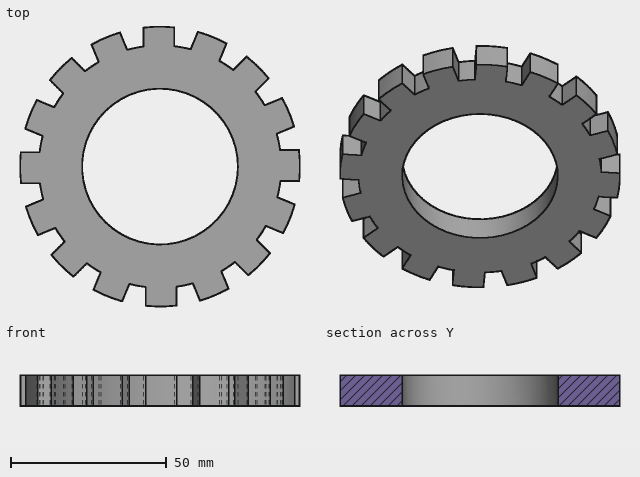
import cadquery as cq

thickness = 10.0
bore_diameter = 50.0
root_diameter = 78.0
tip_diameter = 90.0
tooth_count = 16
tooth_width = 10.0
tooth_offset = 0.36

tooth_pitch_angle = 360.0 / tooth_count
tip_radius = tip_diameter / 2


def disc(diameter):
    """Solid disc standing on the XY plane."""
    return cq.Workplane("XY").circle(diameter / 2).extrude(thickness)


def tooth_bar(angle):
    """Parallel-sided bar from the axis out to the tip circle, turned to the given angle."""
    return (
        cq.Workplane("XY")
        .center(tip_radius / 2, tooth_offset)
        .rect(tip_radius, tooth_width)
        .extrude(thickness)
        .rotate((0, 0, 0), (0, 0, 1), angle)
    )


def toothed_disc():
    """Root disc with all teeth added, their tips rounded to the tip circle."""
    body = disc(root_diameter)
    for index in range(tooth_count):
        body = body.union(tooth_bar(index * tooth_pitch_angle))
    return body.intersect(disc(tip_diameter))


result = toothed_disc().cut(disc(bore_diameter))